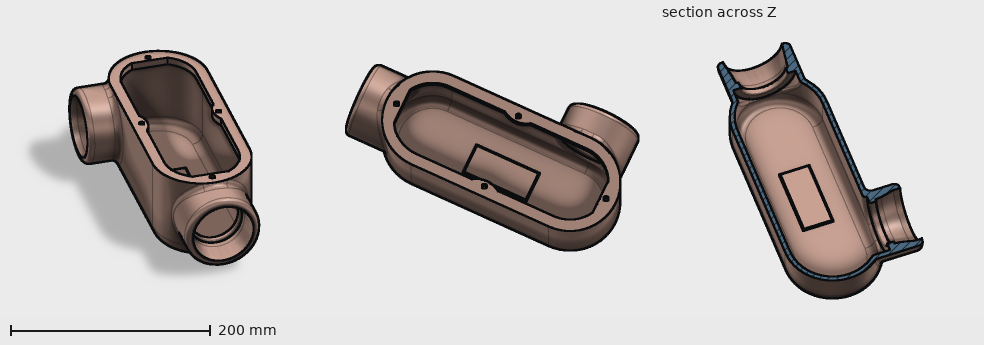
import cadquery as cq
overall_length = 282.6
overall_width = 134.5
body_length = 253.3
body_width = 101.2
body_height = 90.5
body_radius = body_width / 2
end_center_x = (body_length - body_width) / 2

wall = 5.5
bottom_radius = 15.8
inner_radius = body_radius - wall
inner_bottom_radius = bottom_radius - wall

lip_height = 8.0
lip_width = 12.0
lip_radius = body_radius - lip_width
lip_base_z = body_height - lip_height
end_land_width = 16.7
side_land_length = 28.5
side_land_bulge = 4.5
screw_diameter = 5.0
end_screw_inset = 10.7
side_screw_inset = 10.5

hub_diameter = 77.7
hub_radius = hub_diameter / 2
hub_center_z = 47.5
hub_rim_radius = 5.7
hub_blend_radius = 6.5
end_hub_reach = overall_length - body_length / 2
side_hub_reach = overall_width - body_radius

mouth_diameter = 63.0
side_mouth_depth = 7.3
taper_end_diameter = 56.2
taper_end_depth = 21.5
step_diameter = 54.8
step_depth = 27.7
stop_diameter = 50.0
stop_depth = 35.0
stop_edge_radius = 1.0
entry_diameter = hub_diameter - 2 * (wall + 0.42)
entry_radius = entry_diameter / 2
entry_blend_radius = 4.0

label_length = 70.7
label_width = 32.5
label_height = 1.5
label_bevel = 1.27


def stadium(radius, height, base_z):
    """Solid with straight sides and round ends about the two end centres."""
    length = 2 * (end_center_x + radius)
    return cq.Workplane("XY").workplane(offset=base_z).slot2D(length, 2 * radius).extrude(height)


def rounded_tub(radius, height, base_z, edge_radius):
    """Stadium solid with its lower edge rounded."""
    return stadium(radius, height, base_z).faces("<Z").edges().fillet(edge_radius)


def on_end_hub(shape):
    """Move a shape lying along +Z onto the axis of the +X hub."""
    return shape.rotate((0, 0, 0), (0, 1, 0), 90).translate((end_center_x, 0, hub_center_z))


def on_side_hub(shape):
    """Move a shape lying along +Z onto the axis of the -Y hub."""
    return shape.rotate((0, 0, 0), (1, 0, 0), 90).translate((-end_center_x, 0, hub_center_z))


def rod(radius, length):
    """Cylinder along +Z from the origin."""
    return cq.Workplane("XY").circle(radius).extrude(length)


def hub(reach):
    """Hub along +Z with a rounded outer rim."""
    return rod(hub_radius, reach).faces(">Z").edges().fillet(hub_rim_radius)


def hub_core(reach):
    """Plug along +Z that fills the hub outward of the conduit stop's inner face."""
    start = reach - stop_depth
    return cq.Workplane("XY").workplane(offset=start).circle(entry_radius).extrude(stop_depth)


def hub_bore(reach, mouth_depth):
    """Mouth, taper, step and rounded conduit stop along +Z."""
    mouth_r = mouth_diameter / 2
    stop_r = stop_diameter / 2
    profile = cq.Workplane("XZ").moveTo(0, reach).lineTo(mouth_r, reach)
    if mouth_depth > 0:
        profile = profile.lineTo(mouth_r, reach - mouth_depth)
    return (
        profile.lineTo(taper_end_diameter / 2, reach - taper_end_depth)
        .lineTo(step_diameter / 2, reach - step_depth)
        .lineTo(stop_r + stop_edge_radius, reach - step_depth)
        .radiusArc((stop_r, reach - step_depth - stop_edge_radius), -stop_edge_radius)
        .lineTo(stop_r, reach - stop_depth + stop_edge_radius)
        .radiusArc((stop_r + stop_edge_radius, reach - stop_depth), -stop_edge_radius)
        .lineTo(0, reach - stop_depth)
        .close()
        .revolve(360, (0, 0, 0), (0, 1, 0))
    )


def end_junction(end_radius, post_radius):
    """Select the edges where a post along the +X hub axis meets a round end."""
    return cq.selectors.BoxSelector(
        (end_center_x + end_radius - 15.5, -post_radius, hub_center_z - post_radius),
        (end_center_x + end_radius + 0.3, post_radius, hub_center_z + post_radius),
    )


def side_junction(end_radius, post_radius):
    """Select the edges where a post along the -Y hub axis meets the side wall."""
    return cq.selectors.BoxSelector(
        (-end_center_x - post_radius, -end_radius - 0.3, hub_center_z - post_radius),
        (-end_center_x + post_radius, -end_radius + 15.5, hub_center_z + post_radius),
    )


outer = rounded_tub(body_radius, body_height, 0, bottom_radius)
outer = outer.union(on_end_hub(hub(end_hub_reach - end_center_x))).union(on_side_hub(hub(side_hub_reach)))
outer = outer.edges(end_junction(body_radius, hub_radius)).fillet(hub_blend_radius)
outer = outer.edges(side_junction(body_radius, hub_radius)).fillet(hub_blend_radius)

cavity = rounded_tub(inner_radius, lip_base_z - wall, wall, inner_bottom_radius)
cavity = cavity.union(on_end_hub(rod(entry_radius, end_hub_reach - end_center_x)))
cavity = cavity.union(on_side_hub(rod(entry_radius, side_hub_reach)))
cavity = cavity.edges(end_junction(inner_radius, entry_radius)).fillet(entry_blend_radius)
cavity = cavity.edges(side_junction(inner_radius, entry_radius)).fillet(entry_blend_radius)


def land_cutout(side):
    """Bow-shaped screw land reaching inward from the straight lip on one side (+1 or -1)."""
    return (
        cq.Workplane("XY")
        .workplane(offset=lip_base_z)
        .moveTo(-side_land_length / 2, side * lip_radius)
        .threePointArc((0, side * (lip_radius - side_land_bulge)), (side_land_length / 2, side * lip_radius))
        .close()
        .extrude(lip_height)
    )


flat_ends = cq.Workplane("XY").box(body_length - 2 * end_land_width, body_width, 3 * body_height)
opening = stadium(lip_radius, lip_height, lip_base_z).intersect(flat_ends)
opening = opening.cut(land_cutout(1)).cut(land_cutout(-1))

screw_x = body_length / 2 - end_screw_inset
screw_y = body_radius - side_screw_inset
screw_holes = (
    cq.Workplane("XY")
    .workplane(offset=lip_base_z)
    .pushPoints([(screw_x, 0), (-screw_x, 0), (0, screw_y), (0, -screw_y)])
    .circle(screw_diameter / 2)
    .extrude(lip_height)
)

label = (
    cq.Workplane("XY")
    .workplane(offset=wall)
    .rect(label_length, label_width)
    .extrude(label_height)
    .faces(">Z")
    .edges()
    .chamfer(label_bevel)
)

end_reach = end_hub_reach - end_center_x
hub_cores = on_end_hub(hub_core(end_reach)).union(on_side_hub(hub_core(side_hub_reach)))
hub_bores = on_end_hub(hub_bore(end_reach, 0)).union(on_side_hub(hub_bore(side_hub_reach, side_mouth_depth)))

result = outer.cut(cavity).union(hub_cores).cut(hub_bores)
result = result.cut(opening).cut(screw_holes).union(label)